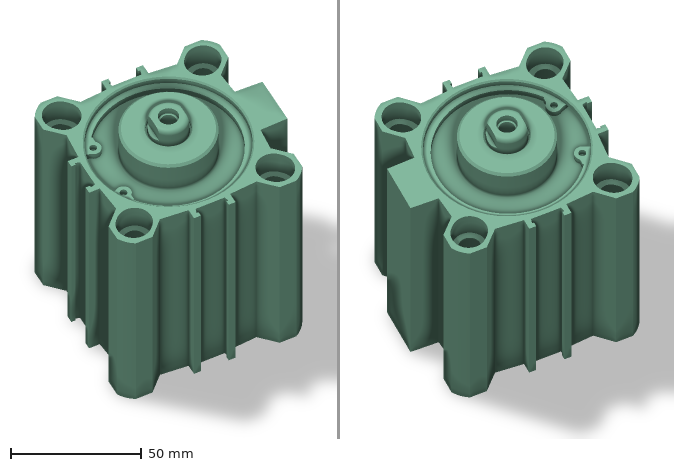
import cadquery as cq
import math

HOUSING_HEIGHT = 92.0
BOSS_TOP = 100.0
ROD_TOP = 107.0

HOUSING_HALF = 40.0
LUG_CORNER = 5.4
LUG_TIP_RADIUS = 13.9
LUG_NEAR = 27.5
LUG_ROOT = (33.4, 20.9)
WALL_MID = 34.3

RAIL_TOP = 39.0
RAIL_OUTER = 9.0
SLOT_MOUTH = 6.0
SLOT_NECK = 6.8
SLOT_FLOOR_HALF = 6.3
SLOT_FLOOR = 35.0
LIP_BASE = 37.0

PORT_FACE = 46.0
PORT_FACE_HALF = 10.5
PORT_ROOT_HALF = 10.9

MOUNT_PITCH_HALF = 30.5
MOUNT_ELONGATION = 1.3
MOUNT_THROUGH_DIA = 9.0
MOUNT_COUNTERBORE_DIA = 14.0
MOUNT_COUNTERBORE_DEPTH = 10.5

BORE_DIA = 64.7
BORE_CHAMFER = 0.6
GROOVE_DIA = 68.2
RING_TOP = 89.0
RING_THICKNESS = 2.7
RING_INNER_DIA = 59.5
RING_INNER_SHIFT = -0.4
EAR_DIA = 6.4
EAR_HOLE_DIA = 3.0
EAR_X = 12.7
EAR_Y = -26.0
EAR_SHOULDER_X = 17.7
EAR_SHOULDER_Y = -23.9
EAR_TIP_X = 11.8

RING_BOTTOM = RING_TOP - RING_THICKNESS
COVER_THICKNESS = 19.3
COVER_BOTTOM = RING_BOTTOM - COVER_THICKNESS
BOSS_DIA = 38.5
BOSS_CHAMFER = 1.0
BOSS_FOOT_FILLET = 0.8
ROD_HOLE_DIA = 16.6
SEAL_RECESS_DIA = 17.7
SEAL_RECESS_DEPTH = 1.3
SEAL_CHAMFER = 0.4

ROD_DIA = 16.0
ROD_TIP_FILLET = 1.9
FLAT_WIDTH = 13.1
FLAT_BOTTOM = 101.1
FLAT_RUNOUT = 0.9
ROD_MOUTH_DIA = 8.2
ROD_MOUTH_DEPTH = 3.0
ROD_BORE_DIA = 6.6
ROD_BORE_DEPTH = 12.8
ROD_BORE_TIP = 0.4


def cylinder(diameter, bottom, top):
    return cq.Workplane("XY").workplane(offset=bottom).circle(diameter / 2).extrude(top - bottom)


def cone(bottom_dia, top_dia, bottom, top):
    return cq.Workplane(
        cq.Solid.makeCone(bottom_dia / 2, top_dia / 2, top - bottom, cq.Vector(0, 0, bottom))
    )


def quarter_turned(point, turns):
    """Point turned about the axis by a number of quarter turns."""
    x, y = point
    for _ in range(turns):
        x, y = -y, x
    return x, y


def housing_section():
    """Four corner lugs with rounded tips, joined by slightly bulged walls."""
    root_far, root_near = LUG_ROOT
    arc_end = HOUSING_HALF - LUG_CORNER
    half_chord = LUG_CORNER * math.sqrt(0.5)
    bulge = LUG_TIP_RADIUS - math.sqrt(LUG_TIP_RADIUS**2 - half_chord**2)
    arc_middle = HOUSING_HALF - LUG_CORNER / 2 + bulge * math.sqrt(0.5)
    before_arc = [
        (WALL_MID, RAIL_OUTER),
        (root_far, root_near),
        (HOUSING_HALF, LUG_NEAR),
        (HOUSING_HALF, arc_end),
    ]
    after_arc = [(LUG_NEAR, HOUSING_HALF), (root_near, root_far), (RAIL_OUTER, WALL_MID)]
    section = cq.Workplane("XY").moveTo(WALL_MID, -RAIL_OUTER)
    for turns in range(4):
        for point in before_arc:
            section = section.lineTo(*quarter_turned(point, turns))
        section = section.threePointArc(
            quarter_turned((arc_middle, arc_middle), turns),
            quarter_turned((arc_end, HOUSING_HALF), turns),
        )
        for point in after_arc:
            section = section.lineTo(*quarter_turned(point, turns))
    return section.close().extrude(HOUSING_HEIGHT)


def rail_pad():
    """Solid pad on the -Y side from which the slot leaves the two rails."""
    pad_depth = RAIL_TOP - BORE_DIA / 2
    return (
        cq.Workplane("XY")
        .center(0, -RAIL_TOP + pad_depth / 2)
        .rect(2 * RAIL_OUTER, pad_depth)
        .extrude(HOUSING_HEIGHT)
    )


def sensor_slot():
    """Undercut slot on the -Y side, wider behind the lips than at its mouth."""
    half = [
        (SLOT_FLOOR_HALF, -SLOT_FLOOR),
        (SLOT_NECK, -LIP_BASE),
        (SLOT_MOUTH, -LIP_BASE),
        (SLOT_MOUTH, -RAIL_TOP),
    ]
    other_half = [(-x, y) for x, y in reversed(half)]
    return cq.Workplane("XY").polyline(half + other_half).close().extrude(HOUSING_HEIGHT)


def port_block():
    """Full-height block that tapers slightly towards its outer face."""
    root_y = BORE_DIA / 2
    outline = [
        (-PORT_ROOT_HALF, root_y),
        (PORT_ROOT_HALF, root_y),
        (PORT_FACE_HALF, PORT_FACE),
        (-PORT_FACE_HALF, PORT_FACE),
    ]
    return cq.Workplane("XY").polyline(outline).close().extrude(HOUSING_HEIGHT)


def mounting_slot(diameter, bottom, x_side, y_side):
    """Elongated hole in one lug, from the given height up to the top face."""
    return (
        cq.Workplane("XY")
        .workplane(offset=bottom)
        .center(x_side * MOUNT_PITCH_HALF, y_side * MOUNT_PITCH_HALF)
        .slot2D(diameter + MOUNT_ELONGATION, diameter, 45 * x_side * y_side)
        .extrude(HOUSING_HEIGHT - bottom)
    )


def make_housing():
    """Extruded barrel with three sensor slots, four mounting holes and the bore."""
    body = housing_section().union(port_block())
    for turn in (-90, 0, 90):
        body = body.union(rail_pad().rotate((0, 0, 0), (0, 0, 1), turn))
        body = body.cut(sensor_slot().rotate((0, 0, 0), (0, 0, 1), turn))
    counterbore_bottom = HOUSING_HEIGHT - MOUNT_COUNTERBORE_DEPTH
    for x_side in (-1, 1):
        for y_side in (-1, 1):
            body = body.cut(mounting_slot(MOUNT_THROUGH_DIA, 0, x_side, y_side))
            body = body.cut(mounting_slot(MOUNT_COUNTERBORE_DIA, counterbore_bottom, x_side, y_side))
    bore = cylinder(BORE_DIA, COVER_BOTTOM, HOUSING_HEIGHT)
    mouth_dia = BORE_DIA + 2 * BORE_CHAMFER
    mouth = cone(BORE_DIA, mouth_dia, HOUSING_HEIGHT - BORE_CHAMFER, HOUSING_HEIGHT)
    ring_groove = cylinder(GROOVE_DIA, RING_BOTTOM, RING_TOP)
    return body.cut(bore).cut(mouth).cut(ring_groove)


def make_cover():
    """Disc closing the bore, with a boss that guides the rod."""
    disc = cylinder(BORE_DIA, COVER_BOTTOM, RING_BOTTOM)
    boss = cylinder(BOSS_DIA, RING_BOTTOM, BOSS_TOP).faces(">Z").chamfer(BOSS_CHAMFER)
    shoulder = cq.selectors.NearestToPointSelector((0, 0, RING_BOTTOM))
    boss_foot = cq.selectors.RadiusNthSelector(0)
    body = disc.union(boss).faces(shoulder).edges(boss_foot).fillet(BOSS_FOOT_FILLET)
    rod_hole = cylinder(ROD_HOLE_DIA, COVER_BOTTOM, BOSS_TOP)
    seal_recess = cylinder(SEAL_RECESS_DIA, BOSS_TOP - SEAL_RECESS_DEPTH, BOSS_TOP)
    mouth_dia = SEAL_RECESS_DIA + 2 * SEAL_CHAMFER
    mouth = cone(SEAL_RECESS_DIA, mouth_dia, BOSS_TOP - SEAL_CHAMFER, BOSS_TOP)
    return body.cut(rod_hole).cut(seal_recess).cut(mouth)


def ring_plate(outline):
    """Polygon as thick as the ring, trimmed to the outer edge of the ring."""
    plate = cq.Workplane("XY").workplane(offset=RING_BOTTOM).polyline(outline).close().extrude(RING_THICKNESS)
    return plate.intersect(cylinder(GROOVE_DIA, RING_BOTTOM, RING_TOP))


def make_ring():
    """Open retaining ring with a drilled ear at each end."""
    outer_r = GROOVE_DIA / 2
    inner_disc = cylinder(RING_INNER_DIA, RING_BOTTOM, RING_TOP).translate((0, RING_INNER_SHIFT, 0))
    opening = ring_plate([
        (-EAR_SHOULDER_X, EAR_SHOULDER_Y),
        (EAR_SHOULDER_X, EAR_SHOULDER_Y),
        (EAR_SHOULDER_X, -outer_r),
        (-EAR_SHOULDER_X, -outer_r),
    ])
    ring = cylinder(GROOVE_DIA, RING_BOTTOM, RING_TOP).cut(inner_disc).cut(opening)
    for side in (-1, 1):
        web = ring_plate([
            (side * EAR_SHOULDER_X, EAR_SHOULDER_Y),
            (side * EAR_X, EAR_SHOULDER_Y),
            (side * (EAR_X - EAR_DIA / 2), EAR_Y),
            (side * EAR_TIP_X, -math.sqrt(outer_r**2 - EAR_TIP_X**2)),
            (side * EAR_TIP_X, -outer_r),
            (side * EAR_SHOULDER_X, -outer_r),
        ])
        ear = cylinder(EAR_DIA, RING_BOTTOM, RING_TOP).translate((side * EAR_X, EAR_Y, 0))
        ear_hole = cylinder(EAR_HOLE_DIA, RING_BOTTOM, RING_TOP).translate((side * EAR_X, EAR_Y, 0))
        ring = ring.union(web).union(ear).cut(ear_hole)
    return ring


def make_rod():
    """Rod end with a rounded tip, two wrench flats and a stepped bore."""
    rod = cylinder(ROD_DIA, COVER_BOTTOM, ROD_TOP).faces(">Z").edges().fillet(ROD_TIP_FILLET)
    for side in (-1, 1):
        outline = [
            (side * FLAT_WIDTH / 2, ROD_TOP),
            (side * FLAT_WIDTH / 2, FLAT_BOTTOM),
            (side * ROD_DIA / 2, FLAT_BOTTOM - FLAT_RUNOUT),
            (side * ROD_DIA / 2, ROD_TOP),
        ]
        rod = rod.cut(cq.Workplane("YZ").polyline(outline).close().extrude(ROD_DIA / 2, both=True))
    bore_bottom = ROD_TOP - ROD_BORE_DEPTH
    mouth = cylinder(ROD_MOUTH_DIA, ROD_TOP - ROD_MOUTH_DEPTH, ROD_TOP)
    bore = cylinder(ROD_BORE_DIA, bore_bottom, ROD_TOP)
    bore_floor = cone(0, ROD_BORE_DIA, bore_bottom - ROD_BORE_TIP, bore_bottom)
    return rod.cut(mouth).cut(bore).cut(bore_floor)


housing = make_housing()
cover = make_cover()
ring = make_ring()
rod = make_rod()
result = cq.Compound.makeCompound([housing.val(), cover.val(), ring.val(), rod.val()])